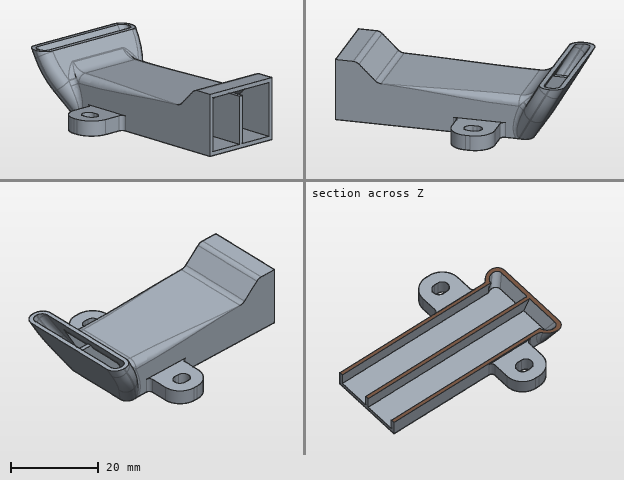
import math

import cadquery as cq

LENGTH = 55.0
MOUTH_HEIGHT = 15.0
WALL = 1.0

LEAN = math.radians(30)
MOUTH_DEPTH = 6.0
MOUTH_HALF_WIDTH = 15.0
TONGUE_THICKNESS = MOUTH_DEPTH * math.cos(LEAN)
TONGUE_FOOT_X = MOUTH_HEIGHT * math.tan(LEAN)
TONGUE_EDGE_RADIUS = 2.5
FLARE = math.radians(25)
FLARE_RADIUS = 20.0
TONGUE_OVERRUN = 8.0

BODY_HALF_WIDTH = 9.75
BODY_HEIGHT = 10.0
INLET_HEIGHT = 14.75
RAMP_START_X = 45.0
RAMP_END_X = 50.0
RAMP_RADIUS = 2.0
RAMP_ANGLE = math.atan2(INLET_HEIGHT - BODY_HEIGHT, RAMP_END_X - RAMP_START_X)
RAMP_TANGENT = RAMP_RADIUS * math.tan(RAMP_ANGLE / 2)
SHOULDER_END_X = RAMP_START_X - RAMP_TANGENT
THROAT_RADIUS = 5.0
SHOULDER_RADIUS = 2.0
SHOULDER_END_RADIUS = 0.02
JOINT_RADIUS = 1.5
THROAT_SINK = 0.05
BASE_OVERRUN = 6.0
THROAT_OVERLAP_HEIGHT = 14.0
TOLERANCE = 1e-6

DIVIDER_THICKNESS = 1.0
DIVIDER_HEIGHT = 12.4

EAR_X = 21.0
EAR_HOLE_Y = 15.0
EAR_HEIGHT = 3.6
HOLE_RADIUS = 1.6
HOLE_TRAVEL = 1.0
EAR_RIM = 3.0
EAR_RADIUS = HOLE_RADIUS + EAR_RIM
EAR_ROOT_RADIUS = 1.0


def tongue(inset):
    """Leaning flared plate with rounded edges, shrunk all round by inset."""
    thickness = TONGUE_THICKNESS - 2 * inset
    half_width = MOUTH_HALF_WIDTH - inset
    base_s = -TONGUE_THICKNESS / 2 * math.tan(LEAN)
    base_y = BODY_HALF_WIDTH - inset / math.cos(FLARE)
    bottom_s = -TONGUE_OVERRUN
    top_s = MOUTH_HEIGHT / math.cos(LEAN) + TONGUE_OVERRUN
    bottom_y = base_y + (bottom_s - base_s) * math.tan(FLARE)
    corner_s = base_s + (half_width - base_y) / math.tan(FLARE)
    radius = FLARE_RADIUS - inset
    tangent = radius * math.tan(FLARE / 2)
    arc_low = (half_width - tangent * math.sin(FLARE), corner_s - tangent * math.cos(FLARE))
    arc_mid = (
        half_width - radius * (1 - math.cos(FLARE / 2)),
        corner_s + tangent - radius * math.sin(FLARE / 2),
    )
    arc_high = (half_width, corner_s + tangent)

    plane = cq.Plane(
        origin=(TONGUE_FOOT_X, 0, 0),
        xDir=(0, 1, 0),
        normal=(math.cos(LEAN), 0, math.sin(LEAN)),
    )

    def mirrored(point):
        return (-point[0], point[1])

    plate = (
        cq.Workplane(plane)
        .workplane(offset=inset)
        .moveTo(bottom_y, bottom_s)
        .lineTo(*arc_low)
        .threePointArc(arc_mid, arc_high)
        .lineTo(half_width, top_s)
        .lineTo(-half_width, top_s)
        .lineTo(*mirrored(arc_high))
        .threePointArc(mirrored(arc_mid), mirrored(arc_low))
        .lineTo(-bottom_y, bottom_s)
        .close()
        .extrude(thickness)
    )
    rims = plate.faces(cq.selectors.ParallelDirSelector(plane.zDir)).edges()
    long_edges = [edge for edge in rims.vals() if abs(edge.tangentAt(0.5).y) < 1 - TOLERANCE]
    return plate.newObject(long_edges).fillet(TONGUE_EDGE_RADIUS - inset)


def tongue_plane_x(depth, z):
    """X, at height z, of the plane lying depth behind the tongue's front face."""
    return TONGUE_FOOT_X + depth / math.cos(LEAN) - z * math.tan(LEAN)


def throat_arc(depth, height, radius):
    """Start, middle and end of the arc from a level line up to the tongue plane at depth."""
    turn = math.pi / 2 - LEAN
    center_x = tongue_plane_x(depth, height) + radius * math.tan(turn / 2)
    center_z = height + radius
    return [
        (center_x - radius * math.sin(angle), center_z - radius * math.cos(angle))
        for angle in (0, turn / 2, turn)
    ]


def slab(bottom):
    """Level slab as tall as the mouth and larger than the part in plan."""
    return (
        cq.Workplane("XY", origin=(0, 0, bottom))
        .box(2 * LENGTH, 4 * MOUTH_HALF_WIDTH, MOUTH_HEIGHT, centered=(True, True, False))
    )


def shouldered_body():
    """Body up to the ramp, with a throat arc and shoulders that fade out toward the ramp."""
    rear = TONGUE_THICKNESS - THROAT_SINK
    start = TONGUE_THICKNESS / 2
    arc_start, arc_mid, arc_end = throat_arc(rear, BODY_HEIGHT, THROAT_RADIUS)
    body = (
        cq.Workplane("XZ")
        .moveTo(tongue_plane_x(start, -BASE_OVERRUN), -BASE_OVERRUN)
        .lineTo(SHOULDER_END_X, -BASE_OVERRUN)
        .lineTo(SHOULDER_END_X, BODY_HEIGHT)
        .lineTo(*arc_start)
        .threePointArc(arc_mid, arc_end)
        .lineTo(tongue_plane_x(rear, THROAT_OVERLAP_HEIGHT), THROAT_OVERLAP_HEIGHT)
        .lineTo(tongue_plane_x(start, THROAT_OVERLAP_HEIGHT), THROAT_OVERLAP_HEIGHT)
        .close()
        .extrude(BODY_HALF_WIDTH, both=True)
    )

    def shoulder_radius(point):
        at_ramp = point.x > SHOULDER_END_X - TOLERANCE
        return SHOULDER_END_RADIUS if at_ramp else SHOULDER_RADIUS

    fillet = cq.occ_impl.shapes.BRepFilletAPI_MakeFillet(body.val().wrapped)
    top_edges = [e for e in body.edges("|X").vals() if e.Center().z > 0]
    for top_edge in top_edges:
        fillet.Add(SHOULDER_RADIUS, top_edge.wrapped)
        chain = fillet.Contour(top_edge.wrapped)
        for index in range(1, fillet.NbEdges(chain) + 1):
            edge = cq.Edge(fillet.Edge(chain, index))
            first_radius = shoulder_radius(edge.startPoint())
            last_radius = shoulder_radius(edge.endPoint())
            fillet.SetRadius(first_radius, last_radius, chain, index)
    return cq.Workplane(cq.Shape.cast(fillet.Shape()))


def duct_front():
    """Tongue and shouldered body, blended together and cut flat at base and mouth."""
    joined = shouldered_body().union(tongue(0))
    joint_edges = [
        edge
        for edge in joined.edges("%ELLIPSE").vals()
        if edge.Center().x > tongue_plane_x(TONGUE_THICKNESS / 2, 0) and edge.Center().z > 0
    ]
    blended = joined.newObject(joint_edges).fillet(JOINT_RADIUS)
    return blended.intersect(slab(0))


def inlet():
    """Raised end of the body, with a rounded ramp up from the low part."""
    run_x = RAMP_TANGENT * math.cos(RAMP_ANGLE)
    run_z = RAMP_TANGENT * math.sin(RAMP_ANGLE)
    return (
        cq.Workplane("XZ")
        .moveTo(SHOULDER_END_X, 0)
        .lineTo(LENGTH, 0)
        .lineTo(LENGTH, INLET_HEIGHT)
        .lineTo(RAMP_END_X + RAMP_TANGENT, INLET_HEIGHT)
        .radiusArc((RAMP_END_X - run_x, INLET_HEIGHT - run_z), -RAMP_RADIUS)
        .lineTo(RAMP_START_X + run_x, BODY_HEIGHT + run_z)
        .radiusArc((SHOULDER_END_X, BODY_HEIGHT), RAMP_RADIUS)
        .close()
        .extrude(BODY_HALF_WIDTH, both=True)
    )


def ear(side):
    """Slotted mounting ear on the +Y (side = 1) or -Y (side = -1) wall."""
    hole_y = side * EAR_HOLE_Y
    width = HOLE_TRAVEL + 2 * EAR_RADIUS
    wall_y = side * BODY_HALF_WIDTH
    root_y = wall_y + side * EAR_ROOT_RADIUS
    tab = (
        cq.Workplane("XY")
        .center(EAR_X, hole_y)
        .slot2D(width, 2 * EAR_RADIUS)
        .extrude(EAR_HEIGHT)
    )
    neck = (
        cq.Workplane("XY")
        .center(EAR_X, (hole_y + wall_y) / 2)
        .rect(width, EAR_HOLE_Y - BODY_HALF_WIDTH)
        .extrude(EAR_HEIGHT)
    )
    foot = (
        cq.Workplane("XY")
        .center(EAR_X, (wall_y + root_y) / 2)
        .rect(width + 2 * EAR_ROOT_RADIUS, EAR_ROOT_RADIUS)
        .extrude(EAR_HEIGHT)
    )
    hollows = (
        cq.Workplane("XY")
        .pushPoints([(EAR_X + end * (width / 2 + EAR_ROOT_RADIUS), root_y) for end in (-1, 1)])
        .circle(EAR_ROOT_RADIUS)
        .extrude(EAR_HEIGHT)
    )
    hole = (
        cq.Workplane("XY")
        .center(EAR_X, hole_y)
        .slot2D(HOLE_TRAVEL + 2 * HOLE_RADIUS, 2 * HOLE_RADIUS)
        .extrude(EAR_HEIGHT)
    )
    return foot.cut(hollows).union(neck).union(tab).cut(hole)


def cavity():
    """Air passage from the open inlet end up through the mouth, split by a divider."""
    ramp_shift = WALL * math.tan(RAMP_ANGLE / 2)
    start = TONGUE_THICKNESS / 2
    ceiling = BODY_HEIGHT - WALL
    inlet_ceiling = INLET_HEIGHT - WALL
    arc_start, arc_mid, arc_end = throat_arc(TONGUE_THICKNESS - WALL, ceiling, THROAT_RADIUS + WALL)
    channel = (
        cq.Workplane("XZ")
        .moveTo(tongue_plane_x(start, WALL), WALL)
        .lineTo(LENGTH, WALL)
        .lineTo(LENGTH, inlet_ceiling)
        .lineTo(RAMP_END_X + ramp_shift, inlet_ceiling)
        .lineTo(RAMP_START_X + ramp_shift, ceiling)
        .lineTo(*arc_start)
        .threePointArc(arc_mid, arc_end)
        .lineTo(tongue_plane_x(start, arc_end[1]), arc_end[1])
        .close()
        .extrude(BODY_HALF_WIDTH - WALL, both=True)
    )
    mouth = tongue(WALL).intersect(slab(WALL))
    divider = cq.Workplane("XY").box(
        2 * LENGTH, DIVIDER_THICKNESS, DIVIDER_HEIGHT, centered=(True, True, False)
    )
    return mouth.union(channel).cut(divider)


duct = duct_front().union(inlet())
for side in (-1, 1):
    duct = duct.union(ear(side))
result = duct.cut(cavity())